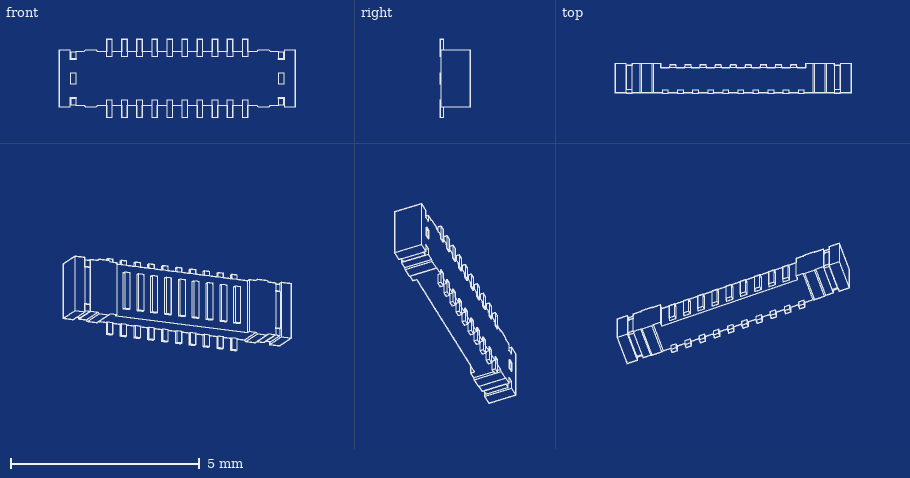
import cadquery as cq

length = 6.26
total_depth = 0.8
span_over_tails = 2.08

end_wall_height = 1.515
body_height = 1.44
front_standoff = 0.02
back_y = total_depth / 2
housing_front_y = -back_y + front_standoff
housing_depth = back_y - housing_front_y

bump_start = 0.665
bump_top_start = 0.7
bump_top_end = 0.975
bump_end = 1.02

recess_length = 3.83
recess_depth = 0.11
tooth_base_width = 0.18
tooth_top_width = 0.15
tooth_height = 0.08
tooth_span = 1.0

contact_count = 10
contact_row_length = 3.6
contact_pitch = contact_row_length / (contact_count - 1)
tail_width = 0.15
tail_thickness = 0.095
tail_inner_z = 0.575

end_wall_thickness = 0.29
slot_width = 0.16
slot_floor_z = 0.51
fitting_gap = 0.0155
fitting_top_z = 0.71
fitting_front_setback = 0.095
groove_depth = 0.05
tab_height = 0.295
slot_outer_x = -length / 2 + end_wall_thickness
slot_inner_x = slot_outer_x + slot_width
fitting_outer_x = slot_outer_x + fitting_gap


def box(x_min, x_max, y_min, y_max, z_min, z_max):
    """Axis-aligned box between the given limits."""
    size = (x_max - x_min, y_max - y_min, z_max - z_min)
    return cq.Workplane("XY").box(*size, centered=False).translate((x_min, y_min, z_min))


def both_ends(shape):
    """The shape together with its mirror image at the other X end."""
    return shape.union(shape.mirror("YZ"))


def above_and_below(shape):
    """The shape together with its mirror image below mid height."""
    return shape.union(shape.mirror("XY"))


def housing():
    """Solid block with taller end walls and a bump near each corner."""
    end_x = length / 2
    body_top = body_height / 2
    wall_top = end_wall_height / 2
    body = box(-end_x, end_x, housing_front_y, back_y, -body_top, body_top)
    end_wall = box(-end_x, -end_x + end_wall_thickness, housing_front_y, back_y, -wall_top, wall_top)
    bump = (
        cq.Workplane("XZ", origin=(0, back_y, 0))
        .moveTo(-end_x + bump_start, 0)
        .lineTo(-end_x + bump_start, body_top)
        .lineTo(-end_x + bump_top_start, wall_top)
        .lineTo(-end_x + bump_top_end, wall_top)
        .lineTo(-end_x + bump_end, body_top)
        .lineTo(-end_x + bump_end, 0)
        .close()
        .extrude(housing_depth)
    )
    return body.union(both_ends(end_wall)).union(both_ends(above_and_below(bump)))


def back_recess():
    """Cut that lowers the middle of the back face over the full height."""
    half_length = recess_length / 2
    half_height = end_wall_height / 2
    return box(-half_length, half_length, back_y - recess_depth, back_y, -half_height, half_height)


def teeth():
    """Tapered ribs on the recess floor, one between each two contacts."""
    floor_y = back_y - recess_depth
    top_y = floor_y + tooth_height
    tooth = (
        cq.Workplane("XY", origin=(0, 0, -tooth_span / 2))
        .moveTo(-tooth_base_width / 2, floor_y)
        .lineTo(tooth_base_width / 2, floor_y)
        .lineTo(tooth_top_width / 2, top_y)
        .lineTo(-tooth_top_width / 2, top_y)
        .close()
        .extrude(tooth_span)
    )
    row = cq.Workplane("XY")
    for index in range(contact_count - 1):
        x = -contact_row_length / 2 + (index + 0.5) * contact_pitch
        row = row.add(tooth.translate((x, 0, 0)))
    return row.combine()


def tails():
    """Two rows of flat contact tails standing out above and below the housing."""
    row = cq.Workplane("XY")
    for index in range(contact_count):
        x = -contact_row_length / 2 + index * contact_pitch
        tail = box(
            x - tail_width / 2, x + tail_width / 2,
            -back_y, -back_y + tail_thickness,
            tail_inner_z, span_over_tails / 2,
        )
        row = row.add(above_and_below(tail))
    return row.combine()


def slots():
    """Slots through the full depth, at the top and bottom of both ends."""
    slot = box(
        slot_outer_x, slot_inner_x, housing_front_y, back_y, slot_floor_z, end_wall_height / 2
    )
    return both_ends(above_and_below(slot))


def end_grooves():
    """Grooves in the back face that run the full height and join the slots of each end."""
    half_height = end_wall_height / 2
    groove = box(
        slot_outer_x, slot_inner_x, back_y - groove_depth, back_y, -half_height, half_height
    )
    return both_ends(groove)


def fittings():
    """Metal in each slot, joined to the inner slot wall and clear of its other sides."""
    fitting = box(
        fitting_outer_x, slot_inner_x,
        housing_front_y + fitting_front_setback, back_y - groove_depth,
        slot_floor_z + fitting_gap, fitting_top_z,
    )
    return both_ends(above_and_below(fitting))


def tabs():
    """Small pads on the front face, midway between the slots of each end."""
    tab = box(
        fitting_outer_x, slot_inner_x, -back_y, housing_front_y, -tab_height / 2, tab_height / 2
    )
    return both_ends(tab)


result = housing().cut(back_recess()).cut(slots()).cut(end_grooves())
for feature in (teeth(), tails(), fittings(), tabs()):
    result = result.union(feature)